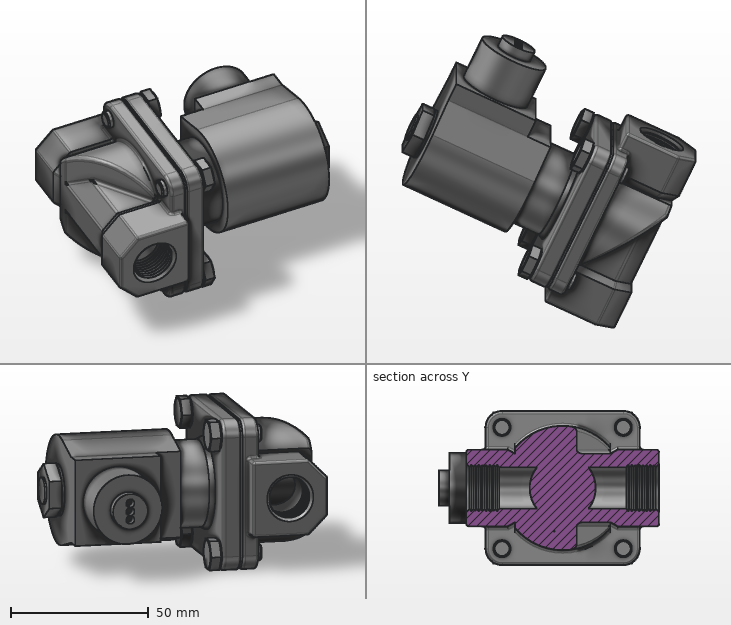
import cadquery as cq
import math


TOLERANCE = 0.05

BODY_HALF_LENGTH = 35.0
PORT_HALF_WIDTH = 14.0
PORT_CHAMFER = 7.0
PORT_INNER_X = 20.0
NECK_INSET = 1.5
NECK_HALF_WIDTH = PORT_HALF_WIDTH - NECK_INSET
NECK_BOTTOM_Y = -NECK_HALF_WIDTH
NECK_X = 17.3
EDGE_FILLET = 1.0
NECK_FILLET = 1.5

CHAMBER_RADIUS = 22.6
RAMP_START_X = -13.0
RAMP_SLOPE = 0.693
RAMP_FILLET = 1.4
PORT_ROOT_FILLET = 1.1

THREAD_MINOR_RADIUS = 7.5
THREAD_MAJOR_RADIUS = 8.33
THREAD_PITCH = 1.34
THREAD_GROOVES = 8
THREAD_LEAD = 1.2
PORT_MOUTH_RADIUS = 8.65
SEAT_RADIUS = 12.0

FLANGE_SIDE = 56.0
FLANGE_CORNER = 6.0
BODY_FLANGE_Y = 10.0
GASKET_Y = 16.0
GASKET_INSET = 0.4
COVER_Y = 16.8
COVER_TOP_Y = 23.5
COVER_UPPER_FILLET = 1.2
COVER_LOWER_FILLET = 0.6

SCREW_OFFSET = 22.0
SCREW_RADIUS = 3.15
SCREW_END_Y = 8.0
SCREW_END_CHAMFER = 0.5
SCREW_HEAD_Y = 24.0
SCREW_HEAD_HEIGHT = 3.7
SCREW_HEAD_FLATS = 10.8
SCREW_COLLAR_RADIUS = 5.2
SCREW_CROWN_HEIGHT = 0.25

TUBE_RADIUS = 16.0
TUBE_FOOT_RADIUS = 17.0
TUBE_FOOT_TOP_Y = 25.5
COIL_Y = 36.9
COIL_TOP_Y = 77.9
COIL_RADIUS = 20.2
COIL_FRONT_X = -18.6
COIL_FRONT_HALF_WIDTH = 15.9

PLATE_FRONT_X = -25.3
PLATE_BOTTOM_Y = 46.0
PLUG_Y = 62.2
PLUG_RADIUS = 12.8
PLUG_FRONT_X = -41.1
GLAND_RADIUS = 6.5
GLAND_FRONT_X = -44.91
WIRE_HOLE_RADIUS = 1.5
WIRE_HOLE_PITCH = 3.05
WIRE_HOLE_DEPTH = 4.0

NUT_WASHER_RADIUS = 9.45
NUT_Y = 78.8
NUT_TOP_Y = 83.5
NUT_FLATS = 17.3
NUT_TURN = 30.0
STEM_RADIUS = 4.9
STEM_TOP_Y = 84.22


def plane_at(y):
    """Workplane at height y whose positive extrusions run toward -Y."""
    return cq.Workplane("XZ", origin=(0, y, 0))


def cylinder_y(radius, y0, y1, x=0.0, z=0.0):
    return plane_at(y0).center(x, z).circle(radius).extrude(y0 - y1)


def cylinder_x(radius, x0, x1, y):
    return cq.Workplane("YZ", origin=(x0, y, 0)).circle(radius).extrude(x1 - x0)


def box(x0, x1, y0, y1, half_width):
    outline = cq.Workplane("XY", origin=(0, 0, -half_width))
    outline = outline.polyline([(x0, y0), (x1, y0), (x1, y1), (x0, y1)]).close()
    return outline.extrude(2 * half_width)


def hex_prism(flats, y0, y1, x=0.0, z=0.0, turn=0.0):
    """Hexagon along Y; its corners point along X, turned about its own axis by `turn` degrees."""
    corners = 2 * flats / math.sqrt(3)
    prism = plane_at(y0).polygon(6, corners).extrude(y0 - y1)
    return prism.rotate((0, 0, 0), (0, 1, 0), turn).translate((x, 0, z))


def rounded_square(side, y0, y1):
    corner = FLANGE_CORNER - (FLANGE_SIDE - side) / 2
    return plane_at(y0).rect(side, side).extrude(y0 - y1).edges("|Y").fillet(corner)


def pipe_section(x, inset=0.0):
    """Square with its two -Y corners chamfered, drawn in the plane at x and shrunk by `inset`."""
    half = PORT_HALF_WIDTH - inset
    flat = PORT_HALF_WIDTH - PORT_CHAMFER - inset * math.tan(math.pi / 8)
    points = [
        (half, half),
        (-flat, half),
        (-half, flat),
        (-half, -flat),
        (-flat, -half),
        (half, -half),
    ]
    return cq.Wire.makePolygon([cq.Vector(x, y, z) for y, z in points], close=True)


def select_edges(solid, wanted):
    """Edges of `solid` for which `wanted(edge, midpoint)` is true."""
    return solid.newObject([e for e in solid.edges().vals() if wanted(e, e.positionAt(0.5))])


def runs_along_pipe(edge):
    return abs(edge.endPoint().x - edge.startPoint().x) > TOLERANCE


def port_block():
    """Port block on the +X end with its taper down to the neck."""
    inner = pipe_section(PORT_INNER_X)
    neck_end = pipe_section(NECK_X, NECK_INSET)
    length = cq.Vector(BODY_HALF_LENGTH - PORT_INNER_X, 0, 0)
    taper = cq.Workplane(cq.Solid.makeLoft([inner, neck_end], True))
    block = cq.Workplane(cq.Solid.extrudeLinear(inner, [], length)).union(taper)
    block = select_edges(block, lambda edge, mid: runs_along_pipe(edge)).fillet(EDGE_FILLET)
    return block.faces(">X").edges().fillet(EDGE_FILLET)


def neck():
    section = pipe_section(-NECK_X, NECK_INSET)
    return cq.Workplane(cq.Solid.extrudeLinear(section, [], cq.Vector(2 * NECK_X, 0, 0)))


def ramp_height(x):
    """Y of the chamber's sloping ramp at x."""
    return NECK_BOTTOM_Y + (x - RAMP_START_X) * RAMP_SLOPE


def chamber():
    """Round diaphragm chamber, cut away by a sloping ramp that rises toward +X."""
    top = BODY_FLANGE_Y + EDGE_FILLET
    drum = cylinder_y(CHAMBER_RADIUS, NECK_BOTTOM_Y, top)
    profile = cq.Workplane("XY", origin=(0, 0, -CHAMBER_RADIUS)).polyline([
        (-NECK_X, NECK_BOTTOM_Y),
        (RAMP_START_X, NECK_BOTTOM_Y),
        (NECK_X, ramp_height(NECK_X)),
        (NECK_X, top),
        (-NECK_X, top),
    ]).close().extrude(2 * CHAMBER_RADIUS)
    return drum.intersect(profile)


def is_chamber_rim(edge, mid):
    """Outer edge of the ramp or flat bottom, or the edge between ramp and flat bottom."""
    floor = max(NECK_BOTTOM_Y, ramp_height(mid.x))
    return abs(mid.y - floor) < TOLERANCE and abs(mid.x) < NECK_X - TOLERANCE


def is_ramp_root(edge, mid):
    """Inner corner where the ramp meets the chamfer or the side of the neck."""
    on_ramp = abs(mid.y - ramp_height(mid.x)) < TOLERANCE
    beside_neck = mid.x < NECK_X and abs(mid.z) < NECK_HALF_WIDTH + TOLERANCE
    return on_ramp and beside_neck and runs_along_pipe(edge)


def ramp_root_fillets():
    """The concave fillets between ramp and neck, as separate solids."""
    sharp = neck().union(chamber())
    return select_edges(sharp, is_ramp_root).fillet(RAMP_FILLET).cut(sharp)


def is_neck_corner(edge, mid):
    """Long edge between the neck's bottom, chamfers and sides."""
    lengthwise = edge.geomType() == "LINE" and abs(edge.tangentAt(0).x) > 1 - TOLERANCE
    return lengthwise and mid.y < 0 and edge.Length() > NECK_X


def chamber_base():
    """Concave fillet ring where the chamber wall meets the flange, as long as the chamber."""
    low = BODY_FLANGE_Y - EDGE_FILLET
    outer = CHAMBER_RADIUS + EDGE_FILLET
    sag = EDGE_FILLET * math.sin(math.pi / 4)
    section = cq.Workplane("XY").moveTo(CHAMBER_RADIUS, low)
    section = section.threePointArc((outer - sag, low + sag), (outer, BODY_FLANGE_Y))
    section = section.lineTo(outer, BODY_FLANGE_Y + EDGE_FILLET)
    section = section.lineTo(CHAMBER_RADIUS - EDGE_FILLET, BODY_FLANGE_Y + EDGE_FILLET)
    section = section.lineTo(CHAMBER_RADIUS - EDGE_FILLET, low).close()
    ring = section.revolve(360, (0, 0, 0), (0, 1, 0))
    return ring.intersect(box(-NECK_X, NECK_X, low, BODY_FLANGE_Y + EDGE_FILLET, outer))


def is_port_root(edge, mid):
    """Inner corner where a port block or its taper meets the flange."""
    beside_block = (abs(abs(mid.z) - PORT_HALF_WIDTH) < TOLERANCE
                    and PORT_INNER_X < abs(mid.x) < FLANGE_SIDE / 2 + TOLERANCE
                    and BODY_FLANGE_Y - TOLERANCE < mid.y < PORT_HALF_WIDTH)
    beside_taper = (NECK_HALF_WIDTH < abs(mid.z) < PORT_HALF_WIDTH
                    and NECK_X + TOLERANCE < abs(mid.x) < PORT_INNER_X
                    and abs(mid.y - BODY_FLANGE_Y) < TOLERANCE)
    return beside_block or beside_taper


def body():
    flange = rounded_square(FLANGE_SIDE, BODY_FLANGE_Y, GASKET_Y)
    flange = flange.faces("<Y or >Y").edges().fillet(EDGE_FILLET)
    rounded_chamber = select_edges(chamber(), is_chamber_rim).fillet(RAMP_FILLET)
    solid = flange.union(neck()).union(rounded_chamber).union(chamber_base())
    solid = select_edges(solid, is_neck_corner).fillet(NECK_FILLET)
    solid = solid.union(ramp_root_fillets())
    port = port_block()
    solid = solid.union(port).union(port.mirror("YZ"))
    return select_edges(solid, is_port_root).fillet(PORT_ROOT_FILLET)


def port_cutter(side):
    """Tapped bore of one port: mouth chamfer, thread grooves and core, down to the valve seat."""
    end = BODY_HALF_LENGTH
    crest = end - THREAD_LEAD
    outline = cq.Workplane("XY").moveTo(0, 0).lineTo(end, 0).lineTo(end, PORT_MOUTH_RADIUS)
    outline = outline.lineTo(crest, THREAD_MINOR_RADIUS)
    for _ in range(THREAD_GROOVES):
        outline = outline.lineTo(crest - THREAD_PITCH / 2, THREAD_MAJOR_RADIUS)
        crest -= THREAD_PITCH
        outline = outline.lineTo(crest, THREAD_MINOR_RADIUS)
    cutter = outline.lineTo(0, THREAD_MINOR_RADIUS).close().revolve(360, (0, 0, 0), (1, 0, 0))
    cutter = cutter.cut(cylinder_y(SEAT_RADIUS, -PORT_HALF_WIDTH, PORT_HALF_WIDTH))
    return cutter if side > 0 else cutter.mirror("YZ")


def cover():
    """Gasket, cover plate and the coil tube with its flared foot."""
    gasket = rounded_square(FLANGE_SIDE - 2 * GASKET_INSET, GASKET_Y, COVER_Y)
    plate = rounded_square(FLANGE_SIDE, COVER_Y, COVER_TOP_Y)
    plate = plate.faces(">Y").edges().fillet(COVER_UPPER_FILLET)
    plate = plate.faces("<Y").edges().fillet(COVER_LOWER_FILLET)
    foot = cq.Workplane(cq.Solid.makeCone(
        TUBE_FOOT_RADIUS, TUBE_RADIUS, TUBE_FOOT_TOP_Y - COVER_TOP_Y,
        cq.Vector(0, COVER_TOP_Y, 0), cq.Vector(0, 1, 0)))
    tube = cylinder_y(TUBE_RADIUS, TUBE_FOOT_TOP_Y, COIL_Y)
    return gasket.union(plate).union(foot).union(tube)


def screw(x, z):
    """Hex-head cover screw whose tip shows past the body flange."""
    head_top = SCREW_HEAD_Y + SCREW_HEAD_HEIGHT
    tip = cylinder_y(SCREW_RADIUS, SCREW_END_Y, COVER_Y, x, z)
    tip = tip.faces("<Y").chamfer(SCREW_END_CHAMFER)
    collar = cylinder_y(SCREW_COLLAR_RADIUS, COVER_TOP_Y, SCREW_HEAD_Y, x, z)
    head = hex_prism(SCREW_HEAD_FLATS, SCREW_HEAD_Y, head_top, x, z)
    crown = cylinder_y(SCREW_COLLAR_RADIUS, head_top, head_top + SCREW_CROWN_HEIGHT, x, z)
    return tip.union(collar).union(head).union(crown)


def coil():
    """Round coil housing whose sides run tangentially to a flat front."""
    reach = math.hypot(COIL_FRONT_X, COIL_FRONT_HALF_WIDTH)
    corner_angle = math.atan2(COIL_FRONT_HALF_WIDTH, COIL_FRONT_X)
    tangent_angle = corner_angle - math.acos(COIL_RADIUS / reach)
    tangent_x = COIL_RADIUS * math.cos(tangent_angle)
    tangent_z = COIL_RADIUS * math.sin(tangent_angle)
    outline = plane_at(COIL_Y).moveTo(COIL_FRONT_X, -COIL_FRONT_HALF_WIDTH)
    outline = outline.lineTo(tangent_x, -tangent_z)
    outline = outline.threePointArc((COIL_RADIUS, 0), (tangent_x, tangent_z))
    outline = outline.lineTo(COIL_FRONT_X, COIL_FRONT_HALF_WIDTH).close()
    return outline.extrude(COIL_Y - COIL_TOP_Y)


def connector():
    """Plate, plug and cable gland on the coil's front, with a row of wire holes."""
    plate = box(PLATE_FRONT_X, COIL_FRONT_X, PLATE_BOTTOM_Y, COIL_TOP_Y, COIL_FRONT_HALF_WIDTH)
    plug = cylinder_x(PLUG_RADIUS, PLUG_FRONT_X, PLATE_FRONT_X, PLUG_Y)
    gland = cylinder_x(GLAND_RADIUS, GLAND_FRONT_X, PLUG_FRONT_X, PLUG_Y)
    solid = plate.union(plug).union(gland)
    hole = cylinder_x(WIRE_HOLE_RADIUS, GLAND_FRONT_X, GLAND_FRONT_X + WIRE_HOLE_DEPTH, PLUG_Y)
    for step in (-1, 0, 1):
        solid = solid.cut(hole.translate((0, 0, step * WIRE_HOLE_PITCH)))
    return solid


def coil_nut():
    washer = cylinder_y(NUT_WASHER_RADIUS, COIL_TOP_Y, NUT_Y)
    nut = hex_prism(NUT_FLATS, NUT_Y, NUT_TOP_Y, turn=NUT_TURN)
    stem = cylinder_y(STEM_RADIUS, NUT_TOP_Y, STEM_TOP_Y)
    return washer.union(nut).union(stem)


valve = body()
for port_side in (-1, 1):
    valve = valve.cut(port_cutter(port_side))
for part in (cover(), coil(), connector(), coil_nut()):
    valve = valve.union(part)
for screw_x in (-SCREW_OFFSET, SCREW_OFFSET):
    for screw_z in (-SCREW_OFFSET, SCREW_OFFSET):
        valve = valve.union(screw(screw_x, screw_z))

result = valve